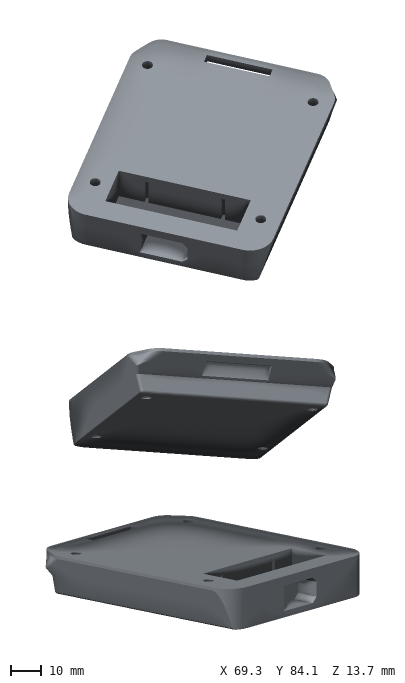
import cadquery as cq
import math

LENGTH = 84.1
TOP_WIDTH = 69.3
HEIGHT = 13.7
RIM_HEIGHT = 1.0
SIDE_SLOPE = 0.24
FRONT_CORNER_RADIUS = 8.0
BOTTOM_EDGE_RADIUS = 0.8
FRONT_Y = -LENGTH / 2
REAR_Y = LENGTH / 2
RIM_BOTTOM = HEIGHT - RIM_HEIGHT

OVERHANG = 6.5
FACET_DROP = 2.6
FACET_ANGLE = 58.0
FACET_LENGTH = 5.9
FACET_TIP_LENGTH = 0.1
FACET_TIP_RADIUS = 4.6
CORNER_RADIUS = 6.0
CORNER_DROP = 4.0
EDGE_RADIUS = 0.9

SCREW_HOLE_DIAMETER = 3.5
SCREW_SPACING = 56.2
SCREW_CENTER_Y = 1.2
STRAP_SLOT_LENGTH = 22.3
STRAP_SLOT_WIDTH = 3.2
STRAP_SLOT_Y = 37.9
STRAP_EXIT_Z = 10.85
POCKET_LENGTH = 44.75
POCKET_WIDTH = 14.55
POCKET_Y = -26.9
FLOOR_THICKNESS = 2.1

NOTCH_SPACING = 25.9
NOTCH_WIDTH = 1.4
NOTCH_DEPTH = 2.0
NOTCH_TOP = 11.35

PORT_LEFT = -8.2
PORT_RIGHT = 8.1
PORT_TOP = 10.6
PORT_CHAMFER = 1.8


def polar_point(center, radius, degrees):
    angle = math.radians(degrees)
    return (center[0] + radius * math.cos(angle), center[1] + radius * math.sin(angle))


def mirrored(point):
    return (-point[0], point[1])


def plan_outline(drop, corner_radius, facet_length):
    """Closed plan outline of the body at a drop below the rim, with square front corners."""
    side_x = TOP_WIDTH / 2 - SIDE_SLOPE * drop
    rear_y = REAR_Y - min(drop, OVERHANG)
    normal_angle = 90 - FACET_ANGLE
    facet_angle = math.radians(FACET_ANGLE)

    rear_tangent = corner_radius * math.tan(facet_angle / 2)
    side_tangent = corner_radius * math.tan(math.radians(normal_angle / 2))
    sharp_length = rear_tangent + facet_length + side_tangent
    rear_center = (
        side_x - sharp_length * math.cos(facet_angle) - rear_tangent,
        rear_y - corner_radius,
    )
    side_center = (
        side_x - corner_radius,
        rear_y - sharp_length * math.sin(facet_angle) - side_tangent,
    )

    front = (side_x, FRONT_Y)
    side_end = polar_point(side_center, corner_radius, 0)
    side_middle = polar_point(side_center, corner_radius, normal_angle / 2)
    facet_start = polar_point(side_center, corner_radius, normal_angle)
    facet_end = polar_point(rear_center, corner_radius, normal_angle)
    rear_middle = polar_point(rear_center, corner_radius, (normal_angle + 90) / 2)
    rear_end = polar_point(rear_center, corner_radius, 90)
    return (
        cq.Workplane("XY", origin=(0, 0, RIM_BOTTOM - drop))
        .moveTo(*front)
        .lineTo(*side_end)
        .threePointArc(side_middle, facet_start)
        .lineTo(*facet_end)
        .threePointArc(rear_middle, rear_end)
        .lineTo(*mirrored(rear_end))
        .threePointArc(mirrored(rear_middle), mirrored(facet_end))
        .lineTo(*mirrored(facet_start))
        .threePointArc(mirrored(side_middle), mirrored(side_end))
        .lineTo(*mirrored(front))
        .close()
    )


def ruled_loft(upper, lower):
    wires = [upper.wires().val(), lower.wires().val()]
    return cq.Workplane(cq.Solid.makeLoft(wires, True))


def make_body():
    rim_outline = plan_outline(0, CORNER_RADIUS, FACET_LENGTH)
    tip_outline = plan_outline(FACET_DROP, FACET_TIP_RADIUS, FACET_TIP_LENGTH)
    corner_outline = plan_outline(CORNER_DROP, EDGE_RADIUS, FACET_TIP_LENGTH)
    wall_outline = plan_outline(OVERHANG, EDGE_RADIUS, FACET_TIP_LENGTH)
    base_outline = plan_outline(RIM_BOTTOM, EDGE_RADIUS, FACET_TIP_LENGTH)

    base = ruled_loft(wall_outline, base_outline)
    base = base.faces("<Z").edges("not <Y").fillet(BOTTOM_EDGE_RADIUS)
    body = (
        base
        .union(ruled_loft(corner_outline, wall_outline))
        .union(ruled_loft(tip_outline, corner_outline))
        .union(ruled_loft(rim_outline, tip_outline))
        .union(rim_outline.extrude(RIM_HEIGHT))
    )
    front_rounding = (
        cq.Workplane("XY")
        .rect(TOP_WIDTH, LENGTH)
        .extrude(HEIGHT)
        .edges("|Z and <Y")
        .fillet(FRONT_CORNER_RADIUS)
    )
    return body.intersect(front_rounding)


def make_screw_holes():
    return (
        cq.Workplane("XY")
        .center(0, SCREW_CENTER_Y)
        .rect(SCREW_SPACING, SCREW_SPACING, forConstruction=True)
        .vertices()
        .circle(SCREW_HOLE_DIAMETER / 2)
        .extrude(HEIGHT)
    )


def make_strap_slot():
    """Through slot whose lower end opens into a shallow relief in the rear slope."""
    slot = (
        cq.Workplane("XY")
        .center(0, STRAP_SLOT_Y)
        .rect(STRAP_SLOT_LENGTH, STRAP_SLOT_WIDTH)
        .extrude(HEIGHT)
    )
    slot_front_y = STRAP_SLOT_Y - STRAP_SLOT_WIDTH / 2
    relief = (
        cq.Workplane("XY")
        .center(0, (slot_front_y + REAR_Y) / 2)
        .rect(STRAP_SLOT_LENGTH, REAR_Y - slot_front_y)
        .extrude(STRAP_EXIT_Z)
    )
    return slot.union(relief)


def make_pocket():
    """Open-topped pocket with two upright notches in its rear wall."""
    floor = cq.Workplane("XY", origin=(0, POCKET_Y, FLOOR_THICKNESS))
    pocket = floor.rect(POCKET_LENGTH, POCKET_WIDTH).extrude(HEIGHT - FLOOR_THICKNESS)
    notch_reach = POCKET_WIDTH / 2 + NOTCH_DEPTH
    notches = (
        floor
        .center(0, notch_reach / 2)
        .pushPoints([(-NOTCH_SPACING / 2, 0), (NOTCH_SPACING / 2, 0)])
        .rect(NOTCH_WIDTH, notch_reach)
        .extrude(NOTCH_TOP - FLOOR_THICKNESS)
    )
    return pocket.union(notches)


def make_port():
    """Opening from the front face into the pocket, with its two right-hand corners chamfered."""
    return (
        cq.Workplane("XZ", origin=(0, POCKET_Y, 0))
        .moveTo(PORT_LEFT, FLOOR_THICKNESS)
        .lineTo(PORT_RIGHT - PORT_CHAMFER, FLOOR_THICKNESS)
        .lineTo(PORT_RIGHT, FLOOR_THICKNESS + PORT_CHAMFER)
        .lineTo(PORT_RIGHT, PORT_TOP - PORT_CHAMFER)
        .lineTo(PORT_RIGHT - PORT_CHAMFER, PORT_TOP)
        .lineTo(PORT_LEFT, PORT_TOP)
        .close()
        .extrude(POCKET_Y - FRONT_Y)
    )


result = (
    make_body()
    .cut(make_screw_holes())
    .cut(make_strap_slot())
    .cut(make_pocket())
    .cut(make_port())
)